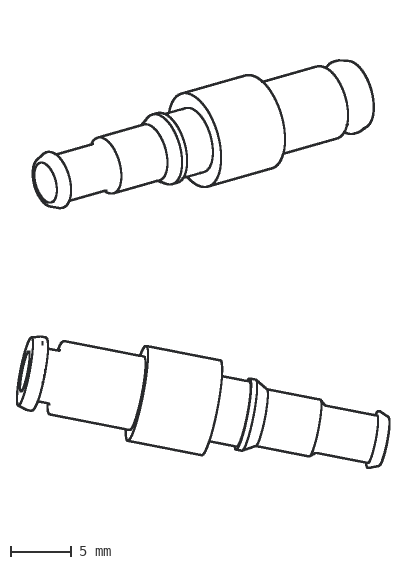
import cadquery as cq

LENGTH = 30.5
BORE_DIA = 3.4

BARB_DIA = 4.9
BARB_MOUTH_DIA = 4.1
BARB_LENGTH = 0.99
BARB_LIP_ROUND = 0.1
BARB_MOUTH_ROUND = 0.2
TUBE_DIA = 4.0

SLEEVE_DIA = 4.8
SLEEVE_START = 5.9
SHOULDER_LENGTH = 0.45
SHOULDER_START = SLEEVE_START - SHOULDER_LENGTH
SHOULDER_ROUND = 0.3

RING_DIA = 6.0
TAPER_START = 10.45
RING_START = 11.5
RING_END = 12.0
NECK_DIA = 5.5

COLLAR_DIA = 8.0
COLLAR_START = 14.7
COLLAR_END = 21.0

PLUG_DIA = 6.2
GROOVE_DIA = 4.45
GROOVE_WIDTH = 1.32
GROOVE_ROOT_ROUND = 0.2
PLUG_LIP_ROUND = 0.2
HEAD_LIP_ROUND = 0.2
HEAD_LENGTH = 1.28
HEAD_TAPER_LENGTH = 0.75
HEAD_FACE_DIA = 5.75
GROOVE_END = LENGTH - HEAD_LENGTH
GROOVE_START = GROOVE_END - GROOVE_WIDTH

EDGE_TOLERANCE = 0.01


def revolved_body():
    """Solid of revolution with sharp edges, before rounding."""
    outline = [
        (0, 0),
        (BARB_MOUTH_DIA / 2, 0),
        (BARB_DIA / 2, BARB_LENGTH),
        (TUBE_DIA / 2, BARB_LENGTH),
        (TUBE_DIA / 2, SHOULDER_START),
        (SLEEVE_DIA / 2, SLEEVE_START),
        (SLEEVE_DIA / 2, TAPER_START),
        (RING_DIA / 2, RING_START),
        (RING_DIA / 2, RING_END),
        (NECK_DIA / 2, RING_END),
        (NECK_DIA / 2, COLLAR_START),
        (COLLAR_DIA / 2, COLLAR_START),
        (COLLAR_DIA / 2, COLLAR_END),
        (PLUG_DIA / 2, COLLAR_END),
        (PLUG_DIA / 2, GROOVE_START),
        (GROOVE_DIA / 2, GROOVE_START),
        (GROOVE_DIA / 2, GROOVE_END),
        (PLUG_DIA / 2, GROOVE_END),
        (PLUG_DIA / 2, LENGTH - HEAD_TAPER_LENGTH),
        (HEAD_FACE_DIA / 2, LENGTH),
        (0, LENGTH),
    ]
    return cq.Workplane("XY").polyline(outline).close().revolve(360, (0, 0, 0), (0, 1, 0))


def round_edge(body, diameter, station, radius):
    """Round the circular edge of the given diameter at the given station."""

    def is_wanted(edge):
        if edge.geomType() != "CIRCLE":
            return False
        same_size = abs(edge.radius() - diameter / 2) < EDGE_TOLERANCE
        same_place = abs(edge.Center().y - station) < EDGE_TOLERANCE
        return same_size and same_place

    return body.edges().filter(is_wanted).fillet(radius)


def rounded_body():
    """Turned body with its lips, groove roots and shoulder rounded."""
    rounds = [
        (BARB_MOUTH_DIA, 0, BARB_MOUTH_ROUND),
        (BARB_DIA, BARB_LENGTH, BARB_LIP_ROUND),
        (TUBE_DIA, SHOULDER_START, SHOULDER_ROUND),
        (PLUG_DIA, GROOVE_START, PLUG_LIP_ROUND),
        (GROOVE_DIA, GROOVE_START, GROOVE_ROOT_ROUND),
        (GROOVE_DIA, GROOVE_END, GROOVE_ROOT_ROUND),
        (PLUG_DIA, GROOVE_END, HEAD_LIP_ROUND),
    ]
    body = revolved_body()
    for diameter, station, radius in rounds:
        body = round_edge(body, diameter, station, radius)
    return body


def bore():
    """Straight bore through the full length."""
    return cq.Workplane("XZ").circle(BORE_DIA / 2).extrude(-LENGTH)


result = rounded_body().cut(bore())